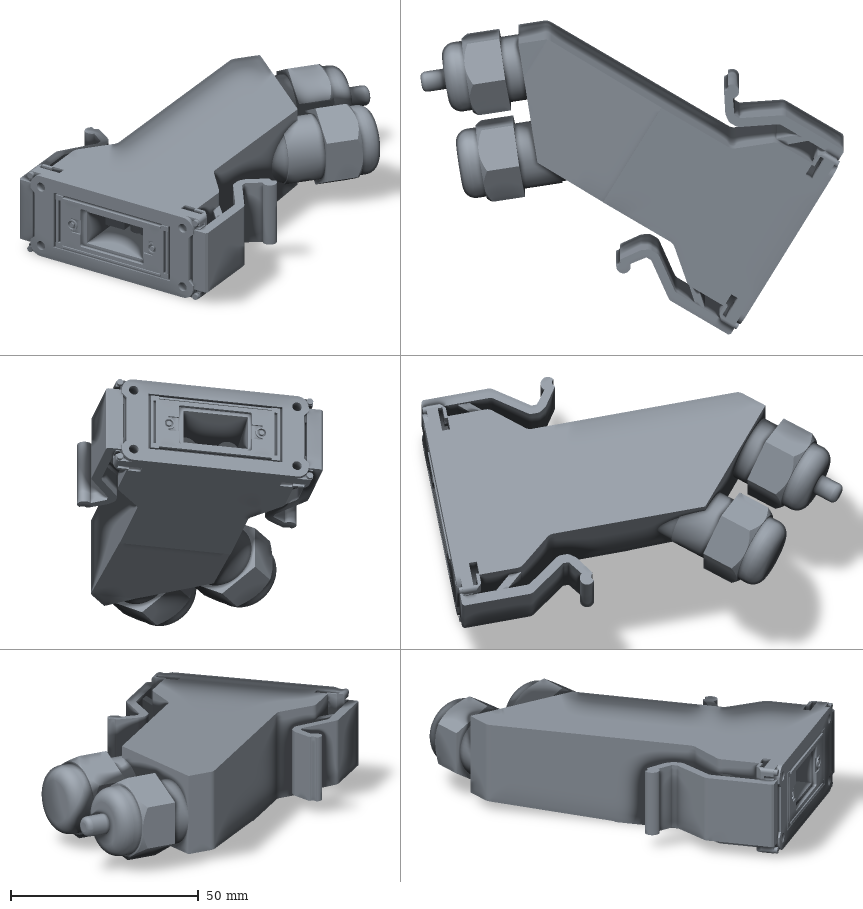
import cadquery as cq
import math

HALF_HEIGHT = 12.0
BODY_HALF_WIDTH = 15.1
BASE_HALF_WIDTH = 22.8
TILT = 40
CORNER_Y = 69.4
END_LENGTH = 32.8
SHOULDER_Y = 27.2
BEND_RADIUS = 2.7
BELLY_Y = 49.1
BELLY_STEP = 0.2
BELLY_RISE = 2.0

FLANGE_HALF_WIDTH = 26.9
FLANGE_FRONT_Y = 1.6
FLANGE_BACK_Y = 6.7
FLANGE_CHAMFER = 1.6
FLANGE_CORNER_RADIUS = 1.0
PLATE_FACE_Y = 0.3
PLATE_HALF_WIDTH = 25.5
PLATE_CORNER_RADIUS = 3.2
PIN_FACE_Y = 0.6
PIN_RADIUS = 0.9
PIN_RELIEF_X = 25.6
PIN_RELIEF_Z = 9.2
NOTCH_X = 24.2
NOTCH_HALF_HEIGHT = 6.4
NOTCH_TAPER = 1.3
GAP_X = 24.7
GAP_HALF_HEIGHT = 5.0
GAP_END_Y = 4.3
SCREW_X = 22.3
SCREW_Z = 8.8
SCREW_HOLE_RADIUS = 1.3
NUT_RADIUS = 3.2
NUT_SLOT_Y = 4.6
NUT_LIP_Y = 5.9
NUT_LIP_X = 22.4

GROOVE_SIZE = (36.6, 16.4)
INSERT_SIZE = (32.3, 14.8)
GROOVE_DEPTH = 1.1
RAIL_LENGTH = 30.8
RAIL_THICKNESS = 0.5
SIDE_RIB_X = 17.2
SIDE_RIB_SIZE = (0.6, 12.9)
CORNER_BLOCK_SIZE = (2.2, 1.4)
CORNER_BLOCK_X = 16.5
CORNER_BLOCK_Z = 7.1
MOUTH_SIZE = (19.9, 11.4)
MOUTH_FILLET = 0.5
MOUTH_DEPTH = 1.1
CAVITY_X = 0.3
CAVITY_HALF_WIDTH = 8.8
CAVITY_HALF_HEIGHT = 4.7
CAVITY_END_Y = 21.4
SEAT_Y = 10.7
SEAT_FLOOR_Z = -3.2
ARCH_X = 5.8
ARCH_RADIUS = 3.2
ARCH_TOP_Z = 1.6
COLUMN_X = 0.7
COLUMN_RADIUS = 2.6
CONTACT_SCREW_X = 12.6
CONTACT_SCREW_RADIUS = 1.6
CONTACT_RECESS_RADIUS = 1.2
CONTACT_RECESS_DEPTH = 0.6
CONTACT_CORE_RADIUS = 0.6
EAR_HEIGHT = 4.2
EAR_END_X = 12.9
EAR_DEPTH = 0.4

GLAND_PITCH = 24.0
NECK_RADIUS = 8.8
ROOT_RADIUS = 8.4
ROOT_END = -5.4
ROOT_START = -16.1
ROOT_STUB = 1.1
NUT_START = 4.9
NUT_END = 15.1
NUT_FLATS = 19.8
CAP_RADIUS = 9.3
CAP_END = 21.0
CAP_FILLET = 3.4
PLUG_RADIUS = 2.73
PLUG_END = 27.5
PLUG_FILLET = 1.4

CLIP_HALF_HEIGHT = 8.9
CLIP_OUTER_X = 29.6
CLIP_INNER_X = 26.9
CLIP_HEEL_X = 25.2
CLIP_FOOT_Y = 0.9
CLIP_FOOT_CHAMFER = 0.5
CLIP_BEND_RADIUS = 2.1
CLIP_KNEE_Y = 19.4
CLIP_KNEE_OFFSET = 0.3
CLIP_FLANGE_OVERLAP = 0.3
HOOK_X = 28.0
HOOK_Y = 34.9
HOOK_RADIUS = 1.9
HOOK_GROOVE_RADIUS = 1.1
HOOK_GROOVE_OFFSET = 0.3
STRUT_DROP = 3.2
STRUT_HALF_HEIGHT = 7.9
STRUT_OVERLAP = 0.2

tilt = math.radians(TILT)
axis = cq.Vector(math.sin(tilt), math.cos(tilt), 0)
across = cq.Vector(-math.cos(tilt), math.sin(tilt), 0)
corner = cq.Vector(BODY_HALF_WIDTH, CORNER_Y, 0)
shoulder_drop = (BASE_HALF_WIDTH - BODY_HALF_WIDTH) / math.tan(tilt)


def box(x0, x1, y0, y1, z0, z1):
    return cq.Workplane("XY").box(x1 - x0, y1 - y0, z1 - z0, centered=False).translate((x0, y0, z0))


def front_block(size, y0, y1, x=0, z=0):
    """Block of the given X and Z size, centred on (x, z), from y0 to y1."""
    width, height = size
    return box(x - width / 2, x + width / 2, y0, y1, z - height / 2, z + height / 2)


def front_cylinder(radius, y0, y1, x=0, z=0):
    return cq.Workplane("XZ", origin=(x, y0, z)).circle(radius).extrude(y0 - y1)


def prism(points, half_height):
    return cq.Workplane("XY").polyline(points).close().extrude(half_height, both=True)


def both_sides(solid):
    return solid.union(solid.mirror("YZ"))


def make_body():
    end = corner + across * END_LENGTH
    side_y = end.y - (end.x + BODY_HALF_WIDTH) / math.tan(tilt)
    base_y = SHOULDER_Y - shoulder_drop
    outline = [
        (-BASE_HALF_WIDTH, FLANGE_BACK_Y),
        (BASE_HALF_WIDTH, FLANGE_BACK_Y),
        (BASE_HALF_WIDTH, base_y),
        (BODY_HALF_WIDTH, SHOULDER_Y),
        (BODY_HALF_WIDTH, CORNER_Y),
        (end.x, end.y),
        (-BODY_HALF_WIDTH, side_y),
        (-BODY_HALF_WIDTH, SHOULDER_Y),
        (-BASE_HALF_WIDTH, base_y),
    ]
    body = prism(outline, HALF_HEIGHT)
    bends = cq.selectors.BoxSelector((-32.1, base_y - 1.1, -1.1), (32.1, SHOULDER_Y + 1.1, 1.1))
    body = body.edges("|Z").edges(bends).fillet(BEND_RADIUS)
    rounded_corner = cq.selectors.BoxSelector((-16.1, side_y - 1.1, -1.1), (-13.9, side_y + 1.1, 1.1))
    body = body.edges("|Z").edges(rounded_corner).fillet(BEND_RADIUS)
    underside = (
        cq.Workplane("YZ")
        .moveTo(BELLY_Y, -HALF_HEIGHT)
        .lineTo(BELLY_Y, -HALF_HEIGHT + BELLY_STEP)
        .lineTo(side_y, -HALF_HEIGHT + BELLY_STEP + BELLY_RISE)
        .lineTo(end.y, -HALF_HEIGHT + BELLY_STEP + BELLY_RISE)
        .lineTo(end.y, -HALF_HEIGHT)
        .close()
        .extrude(BASE_HALF_WIDTH, both=True)
    )
    return body.cut(underside)


def make_flange():
    flange = front_block((2 * FLANGE_HALF_WIDTH, 2 * HALF_HEIGHT), FLANGE_FRONT_Y, FLANGE_BACK_Y)
    sloped_back = flange.edges("|Z and >Y").chamfer(FLANGE_CHAMFER)
    flange = flange.edges("|Y").fillet(FLANGE_CORNER_RADIUS).intersect(sloped_back)
    plate = front_block((2 * PLATE_HALF_WIDTH, 2 * HALF_HEIGHT), PLATE_FACE_Y, FLANGE_FRONT_Y)
    flange = flange.union(plate.edges("|Y").fillet(PLATE_CORNER_RADIUS))
    pin_x = FLANGE_HALF_WIDTH - FLANGE_CORNER_RADIUS
    pin_z = HALF_HEIGHT - FLANGE_CORNER_RADIUS
    for x in (-pin_x, pin_x):
        for z in (-pin_z, pin_z):
            flange = flange.union(front_cylinder(PIN_RADIUS, PIN_FACE_Y, FLANGE_FRONT_Y, x, z))
    outer_height = NOTCH_HALF_HEIGHT + NOTCH_TAPER
    notch = (
        cq.Workplane("XZ", origin=(0, PLATE_FACE_Y, 0))
        .polyline(
            [
                (NOTCH_X, -NOTCH_HALF_HEIGHT),
                (PLATE_HALF_WIDTH, -outer_height),
                (PLATE_HALF_WIDTH, outer_height),
                (NOTCH_X, NOTCH_HALF_HEIGHT),
            ]
        )
        .close()
        .extrude(PLATE_FACE_Y - FLANGE_FRONT_Y)
    )
    relief_top = pin_z - FLANGE_CORNER_RADIUS
    relief = box(PIN_RELIEF_X, FLANGE_HALF_WIDTH, FLANGE_FRONT_Y, GAP_END_Y, PIN_RELIEF_Z, relief_top)
    reliefs = both_sides(relief.union(relief.mirror("XY")))
    gap = box(GAP_X, CLIP_HEEL_X, FLANGE_FRONT_Y, GAP_END_Y, -GAP_HALF_HEIGHT, GAP_HALF_HEIGHT)
    return flange.cut(both_sides(notch)).cut(both_sides(gap)).cut(reliefs)


def make_nut_slot(y0, y1):
    """U-shaped slot around the screw, open to +Z."""
    opening = front_block((2 * NUT_RADIUS, 2 * NUT_RADIUS), y0, y1, SCREW_X, SCREW_Z + NUT_RADIUS)
    return front_cylinder(NUT_RADIUS, y0, y1, SCREW_X, SCREW_Z).union(opening)


def make_screw_place():
    hole = front_cylinder(SCREW_HOLE_RADIUS, PLATE_FACE_Y, FLANGE_BACK_Y, SCREW_X, SCREW_Z)
    slot = make_nut_slot(NUT_SLOT_Y, NUT_LIP_Y)
    inboard = box(0, NUT_LIP_X, NUT_LIP_Y, FLANGE_BACK_Y, 0, 2 * HALF_HEIGHT)
    back_slot = make_nut_slot(NUT_LIP_Y, FLANGE_BACK_Y).intersect(inboard)
    return hole.union(slot).union(back_slot)


def cut_screw_places(part):
    upper = both_sides(make_screw_place())
    return part.cut(upper).cut(upper.mirror("XY"))


def make_cavity():
    """Tapered cavity behind the mouth; its end carries two arched cable seats and a column."""
    y0 = PLATE_FACE_Y
    height = CAVITY_HALF_HEIGHT
    cavity = (
        cq.Workplane("YZ", origin=(CAVITY_X - CAVITY_HALF_WIDTH, 0, 0))
        .polyline([(y0, -height), (CAVITY_END_Y, -height), (CAVITY_END_Y, 0), (y0 + MOUTH_DEPTH, height), (y0, height)])
        .close()
        .extrude(2 * CAVITY_HALF_WIDTH)
    )
    arch_z = ARCH_TOP_Z - ARCH_RADIUS
    column_y = SEAT_Y + COLUMN_RADIUS
    column_back_y = column_y + COLUMN_RADIUS
    column = cq.Workplane("XY", origin=(COLUMN_X, column_y, SEAT_FLOOR_Z)).circle(COLUMN_RADIUS).extrude(-SEAT_FLOOR_Z)
    web = box(-ARCH_X, ARCH_X, column_y, CAVITY_END_Y, SEAT_FLOOR_Z, 0)
    seats = column.union(web)
    for x in (-ARCH_X, ARCH_X):
        arch = front_cylinder(ARCH_RADIUS, SEAT_Y, CAVITY_END_Y, x, arch_z)
        base = box(x - ARCH_RADIUS, x + ARCH_RADIUS, SEAT_Y, CAVITY_END_Y, SEAT_FLOOR_Z, arch_z)
        above_floor = box(x - ARCH_RADIUS, x + ARCH_RADIUS, SEAT_Y, CAVITY_END_Y, SEAT_FLOOR_Z, ARCH_TOP_Z)
        seats = seats.union(arch.intersect(above_floor)).union(base)
    footing = (
        cq.Workplane("YZ")
        .polyline([(column_back_y, SEAT_FLOOR_Z), (CAVITY_END_Y, -height), (CAVITY_END_Y, SEAT_FLOOR_Z)])
        .close()
        .extrude(2 * CAVITY_HALF_WIDTH, both=True)
    )
    return cavity.cut(seats).cut(footing)


def cut_contact_screws(part):
    face = PLATE_FACE_Y + EAR_DEPTH
    recess_end = PLATE_FACE_Y + CONTACT_RECESS_DEPTH
    for side in (-1, 1):
        x = side * CONTACT_SCREW_X
        ear_x = side * EAR_END_X / 2
        part = part.cut(front_block((EAR_END_X, EAR_HEIGHT), PLATE_FACE_Y, face, ear_x))
        part = part.union(front_cylinder(CONTACT_SCREW_RADIUS, PLATE_FACE_Y, face, x))
        recess = front_cylinder(CONTACT_RECESS_RADIUS, PLATE_FACE_Y, recess_end, x)
        core = front_cylinder(CONTACT_CORE_RADIUS, PLATE_FACE_Y, recess_end, x)
        part = part.cut(recess.cut(core))
    return part


def add_connector_insert(part):
    floor = PLATE_FACE_Y + GROOVE_DEPTH
    groove = front_block(GROOVE_SIZE, PLATE_FACE_Y, floor).cut(front_block(INSERT_SIZE, PLATE_FACE_Y, floor))
    part = part.cut(groove)
    rail_z = (INSERT_SIZE[1] - RAIL_THICKNESS) / 2
    for side in (-1, 1):
        part = part.union(front_block((RAIL_LENGTH, RAIL_THICKNESS), 0, floor, z=side * rail_z))
        part = part.union(front_block(SIDE_RIB_SIZE, PLATE_FACE_Y, floor, side * SIDE_RIB_X))
        for z in (-CORNER_BLOCK_Z, CORNER_BLOCK_Z):
            part = part.union(front_block(CORNER_BLOCK_SIZE, PLATE_FACE_Y, floor, side * CORNER_BLOCK_X, z))
    part = cut_contact_screws(part)
    mouth = front_block(MOUTH_SIZE, PLATE_FACE_Y, PLATE_FACE_Y + MOUTH_DEPTH)
    return part.cut(mouth.edges("|Y").fillet(MOUTH_FILLET)).cut(make_cavity())


def make_gland(start, root_start):
    plane = cq.Plane(origin=start.toTuple(), xDir=across.toTuple(), normal=axis.toTuple())
    outer_end = cq.DirectionMinMaxSelector(axis)

    def rod(radius, t0, t1):
        return cq.Workplane(plane).workplane(offset=t0).circle(radius).extrude(t1 - t0)

    corners = NUT_FLATS / math.cos(math.radians(30))
    nut = (
        cq.Workplane(plane)
        .workplane(offset=NUT_START)
        .transformed(rotate=(0, 0, 30))
        .polygon(6, corners)
        .extrude(NUT_END - NUT_START)
    )
    chamfer = (corners - NUT_FLATS) / 2
    nut = nut.intersect(rod(corners / 2, NUT_START, NUT_END).faces(outer_end).chamfer(chamfer))
    cap = rod(CAP_RADIUS, NUT_END, CAP_END).faces(outer_end).edges().fillet(CAP_FILLET)
    root = rod(ROOT_RADIUS, root_start, ROOT_END)
    neck = rod(NECK_RADIUS, ROOT_END, NUT_START)
    return root.union(neck).union(nut).union(cap)


def make_plug(start):
    plane = cq.Plane(origin=start.toTuple(), xDir=across.toTuple(), normal=axis.toTuple())
    plug = cq.Workplane(plane).circle(PLUG_RADIUS).extrude(PLUG_END)
    return plug.faces(cq.DirectionMinMaxSelector(axis)).edges().fillet(PLUG_FILLET)


def make_clip():
    """Clip on the +X side: upright plate, knee, bend and hook, tied to the hood by a strut."""
    overlap_x = CLIP_INNER_X - CLIP_FLANGE_OVERLAP
    overlap_y = FLANGE_BACK_Y - FLANGE_CHAMFER
    outline = [
        (overlap_x, CLIP_FOOT_Y),
        (CLIP_OUTER_X - CLIP_FOOT_CHAMFER, CLIP_FOOT_Y),
        (CLIP_OUTER_X, CLIP_FOOT_Y + CLIP_FOOT_CHAMFER),
        (CLIP_OUTER_X, CLIP_KNEE_Y + CLIP_KNEE_OFFSET),
        (22.7, 29.5),
        (22.7, 31.0),
        (27.1, 34.2),
        (26.8, 36.6),
        (21.7, 33.2),
        (20.4, 31.3),
        (20.4, 28.6),
        (CLIP_INNER_X, CLIP_KNEE_Y),
        (CLIP_INNER_X, overlap_y),
        (overlap_x, overlap_y),
    ]
    clip = prism(outline, CLIP_HALF_HEIGHT)
    bend = cq.selectors.BoxSelector((19.8, 26.8, -1.1), (20.9, 32.1, 1.1))
    knee = cq.selectors.BoxSelector(
        (CLIP_INNER_X - 1.1, CLIP_KNEE_Y - 1.1, -1.1), (CLIP_OUTER_X + 1.1, CLIP_KNEE_Y + 1.1, 1.1)
    )
    clip = clip.edges("|Z").edges(bend + knee).fillet(CLIP_BEND_RADIUS)
    heel = box(CLIP_HEEL_X, CLIP_INNER_X, CLIP_FOOT_Y, FLANGE_FRONT_Y, -CLIP_HALF_HEIGHT, CLIP_HALF_HEIGHT)
    clip = clip.union(heel)
    hook = cq.Workplane("XY").center(HOOK_X, HOOK_Y).circle(HOOK_RADIUS).extrude(CLIP_HALF_HEIGHT, both=True)
    groove = (
        cq.Workplane("XY")
        .center(HOOK_X, HOOK_Y + HOOK_RADIUS + HOOK_GROOVE_OFFSET)
        .circle(HOOK_GROOVE_RADIUS)
        .extrude(CLIP_HALF_HEIGHT, both=True)
    )
    top = SHOULDER_Y - shoulder_drop
    foot = top - (CLIP_INNER_X - BASE_HALF_WIDTH) / math.tan(tilt)
    strut = prism(
        [
            (BASE_HALF_WIDTH - STRUT_OVERLAP, top),
            (BASE_HALF_WIDTH, top),
            (CLIP_INNER_X + STRUT_OVERLAP, foot),
            (CLIP_INNER_X + STRUT_OVERLAP, foot - STRUT_DROP),
            (BASE_HALF_WIDTH, top - STRUT_DROP),
            (BASE_HALF_WIDTH - STRUT_OVERLAP, top - STRUT_DROP),
        ],
        STRUT_HALF_HEIGHT,
    )
    return clip.union(hook).cut(groove).union(strut)


far_gland = corner + across * GLAND_PITCH
result = cut_screw_places(make_body().union(make_flange()))
result = add_connector_insert(result)
result = result.union(make_gland(corner, ROOT_START)).union(make_gland(far_gland, ROOT_END - ROOT_STUB))
result = result.union(make_plug(far_gland))
result = result.union(both_sides(make_clip()))